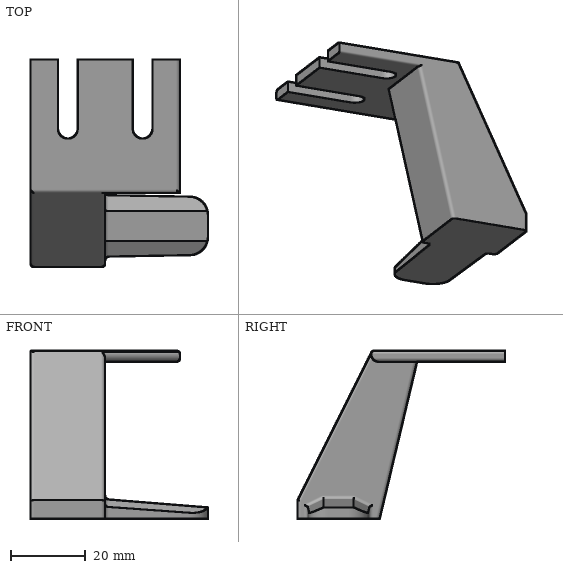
import cadquery as cq
import math

height = 45.0
plate_thickness = 3.0
plate_back_y = 55.5
plate_width = 40.0
plate_underside_z = height - plate_thickness

post_width = 20.0
post_toe_height = 5.0
post_front_top_y = 20.0
post_heel_bottom_y = 22.0
post_heel_top_y = 32.0
front_slope = post_front_top_y / (height - post_toe_height)
plate_front_bottom_y = post_front_top_y - front_slope * plate_thickness

edge_radius = 1.0
left_edge_radius = 0.5
lip_radius = 2.0

slot_width = 5.2
slot_centre_y = 37.0
slot_centres_x = (10.0, 30.0)

tongue_tip_x = 47.5
tongue_centre_y = 11.0
tongue_root_half_width = 8.25
tongue_draft = math.radians(1.0)
tongue_corner_radius = 5.0
tongue_root_z = 5.3
tongue_tip_z = 3.1
crown_half_width = 4.0
crown_side_slope = 0.48
root_radius = 1.0

overlap = 5.0


def edge_at(body, x, y, z):
    """The edge of the body whose middle is nearest to a point."""
    return body.edges(cq.NearestToPointSelector((x, y, z)))


def extrude_side_profile(points, x_start, x_end):
    """Extrude a (Y, Z) outline along X."""
    sketch = cq.Workplane("YZ").workplane(offset=x_start).polyline(points).close()
    return sketch.extrude(x_end - x_start)


def make_post():
    """Post and the strip of plate directly behind it, with rounded edges."""
    outline = [
        (0, 0),
        (0, post_toe_height),
        (post_front_top_y, height),
        (plate_back_y, height),
        (plate_back_y, plate_underside_z),
        (post_heel_top_y, plate_underside_z),
        (post_heel_bottom_y, 0),
    ]
    body = extrude_side_profile(outline, 0, post_width)
    slope_mid = (post_front_top_y / 2, (height + post_toe_height) / 2)
    heel_mid = ((post_heel_bottom_y + post_heel_top_y) / 2, plate_underside_z / 2)
    toe_mid = (0, post_toe_height / 2)
    underside_mid = ((post_heel_top_y + plate_back_y) / 2, plate_underside_z)
    top_mid = ((post_front_top_y + plate_back_y) / 2, height)

    top_rounded = edge_at(body, post_width / 2, post_front_top_y, height).fillet(edge_radius)
    top_rounded = edge_at(top_rounded, 0, *top_mid).fillet(left_edge_radius)

    for x in (0, post_width):
        body = edge_at(body, x, *heel_mid).fillet(edge_radius)
    body = edge_at(body, 0, *underside_mid).fillet(left_edge_radius)
    front_edges = []
    for x in (0, post_width):
        for mid in (toe_mid, slope_mid):
            front_edges.append(edge_at(body, x, *mid).val())
    body = body.newObject(front_edges).fillet(edge_radius)
    return body.intersect(top_rounded)


def make_plate_overhang():
    """Plate to the right of the post, with a rounded front lip and right side."""
    outline = [
        (post_front_top_y, height),
        (plate_back_y, height),
        (plate_back_y, plate_underside_z),
        (plate_front_bottom_y, plate_underside_z),
    ]
    x_start = post_width - overlap
    x_mid = (x_start + plate_width) / 2
    body = extrude_side_profile(outline, x_start, plate_width)
    y_mid = (post_front_top_y + plate_back_y) / 2

    side_rounded = body
    for z in (height, plate_underside_z):
        side_rounded = edge_at(side_rounded, plate_width, y_mid, z).fillet(edge_radius)
    top_rounded = edge_at(body, x_mid, post_front_top_y, height).fillet(edge_radius)
    lip_rounded = edge_at(body, x_mid, plate_front_bottom_y, plate_underside_z).fillet(lip_radius)
    return top_rounded.intersect(lip_rounded).intersect(side_rounded)


def cut_slots(body):
    """Two round-ended slots open to the back of the plate."""
    length = plate_back_y - slot_centre_y
    for x in slot_centres_x:
        straight = cq.Workplane("XY").box(slot_width, length, height, centered=(True, False, False))
        slot = straight.union(cq.Workplane("XY").circle(slot_width / 2).extrude(height))
        body = body.cut(slot.translate((x, slot_centre_y, 0)))
    return body


def make_tongue():
    """Tapered foot with a falling crown, sloped shoulders and a rounded tip."""
    x_start = post_width - overlap
    root_half = tongue_root_half_width + overlap * math.tan(tongue_draft)
    tip_half = tongue_root_half_width - (tongue_tip_x - post_width) * math.tan(tongue_draft)
    plan = [(x_start, -root_half), (tongue_tip_x, -tip_half), (tongue_tip_x, tip_half), (x_start, root_half)]
    fall = (tongue_root_z - tongue_tip_z) / (tongue_tip_x - post_width)
    start_z = tongue_root_z + fall * overlap

    footprint = cq.Workplane("XY").polyline(plan).close().extrude(2 * tongue_root_z)
    footprint = footprint.edges("|Z and >X").fillet(tongue_corner_radius)

    shoulder_drop = crown_side_slope * (root_half - crown_half_width)
    section = [
        (-root_half, -start_z),
        (root_half, -start_z),
        (root_half, start_z - shoulder_drop),
        (crown_half_width, start_z),
        (-crown_half_width, start_z),
        (-root_half, start_z - shoulder_drop),
    ]
    sweep_path = cq.Workplane("XZ").moveTo(x_start, 0).lineTo(tongue_tip_x, -fall * (tongue_tip_x - x_start))
    crown = cq.Workplane("YZ").workplane(offset=x_start).polyline(section).close().sweep(sweep_path)
    return footprint.intersect(crown).translate((0, tongue_centre_y, 0))


def round_tongue_root(body):
    """Fillet the joint between the tongue and the side of the post."""
    margin = 0.1
    joint = cq.selectors.BoxSelector(
        (post_width - margin, 0, margin),
        (post_width + margin, post_heel_bottom_y, tongue_root_z + margin),
    )
    return body.edges(joint).fillet(root_radius)


post = make_post().union(make_tongue())
post = round_tongue_root(post)
result = cut_slots(post.union(make_plate_overhang()))